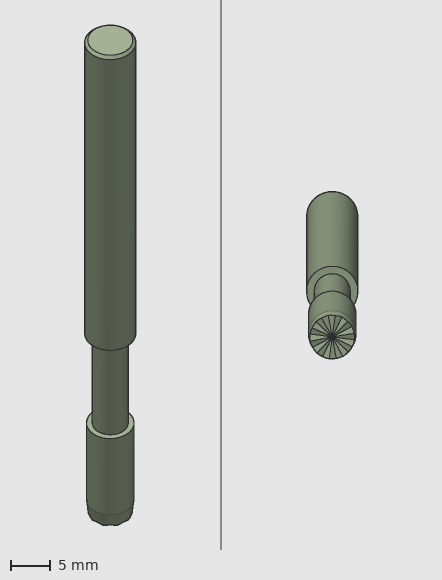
import cadquery as cq
import math

TOTAL_LENGTH = 80.0
BARREL_BOTTOM = 30.2
HEAD_TOP = 15.0
TAPER_HEIGHT = 2.1

BARREL_DIAMETER = 6.5
ROD_DIAMETER = 4.6
HEAD_DIAMETER = 6.0
TIP_DIAMETER = 5.6

BARREL_CHAMFER = 0.4

GROOVE_COUNT = 5
TEETH = 2 * GROOVE_COUNT
GROOVE_DEPTH = 0.2
GROOVE_WIDTH = TIP_DIAMETER * math.sin(math.pi / TEETH)


def make_barrel():
    """Plain cylinder with a chamfered upper rim."""
    return (
        cq.Workplane("XY", origin=(0, 0, BARREL_BOTTOM))
        .circle(BARREL_DIAMETER / 2)
        .extrude(TOTAL_LENGTH - BARREL_BOTTOM)
        .faces(">Z")
        .chamfer(BARREL_CHAMFER)
    )


def make_groove(angle):
    """V-groove cutter through the axis, running at the given angle from +X."""
    return (
        cq.Workplane("YZ")
        .moveTo(-GROOVE_WIDTH / 2, 0)
        .lineTo(GROOVE_WIDTH / 2, 0)
        .lineTo(0, GROOVE_DEPTH)
        .close()
        .extrude(HEAD_DIAMETER / 2, both=True)
        .rotate((0, 0, 0), (0, 0, 1), angle)
    )


def make_plunger():
    """Thin rod on a thicker head that tapers to a serrated tip; it meets the barrel's lower face."""
    plunger = (
        cq.Workplane("XZ")
        .moveTo(0, 0)
        .lineTo(TIP_DIAMETER / 2, 0)
        .lineTo(HEAD_DIAMETER / 2, TAPER_HEIGHT)
        .lineTo(HEAD_DIAMETER / 2, HEAD_TOP)
        .lineTo(ROD_DIAMETER / 2, HEAD_TOP)
        .lineTo(ROD_DIAMETER / 2, BARREL_BOTTOM)
        .lineTo(0, BARREL_BOTTOM)
        .close()
        .revolve(360, (0, 0, 0), (0, 1, 0))
    )
    for index in range(GROOVE_COUNT):
        plunger = plunger.cut(make_groove(index * 180 / GROOVE_COUNT))
    return plunger


barrel = make_barrel()
plunger = make_plunger()
result = cq.Compound.makeCompound([barrel.val(), plunger.val()])